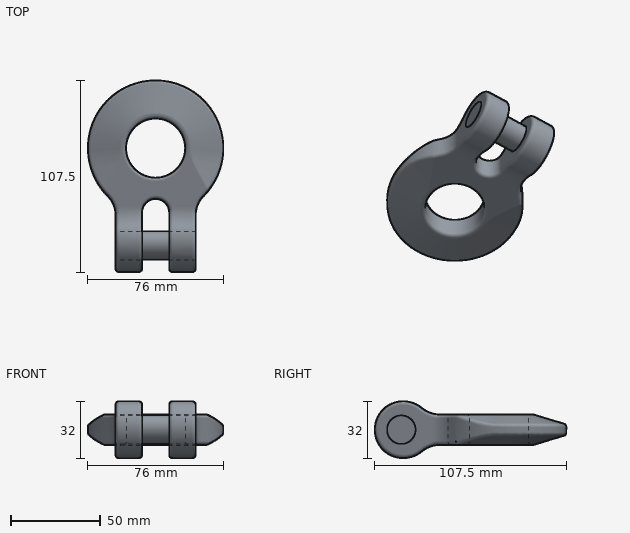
import cadquery as cq
import math

ring_diameter = 76.0
ring_radius = ring_diameter / 2
overall_length = 107.5
eye_diameter = 33.0
plate_thickness = 17.2
half_plate = plate_thickness / 2

fork_width = 45.0
slot_width = 15.0
slot_end_y = -28.5
neck_radius = 15.0
lug_radius = 16.0
lug_blend_radius = 16.0
lug_y = ring_radius - overall_length + lug_radius

pin_diameter = 16.0
pin_offset = 1.1
pin_y = lug_y - pin_offset

crest_radius = 19.5
rim_height = 6.0
flare_middle = (23.6, -12.9)
flare_end = (30.6, -26.0)
flare_angle = math.radians(28)
bevel_slope = (half_plate - rim_height / 2) / (ring_radius - crest_radius)

edge_round = 2.0
upright_tolerance = 0.01
margin = 5.4


def make_plan():
    """Ring and fork outline in the XY plane, joined by concave neck arcs, as a tall prism."""
    half_fork = fork_width / 2
    neck_x = half_fork + neck_radius
    neck_y = -math.sqrt((ring_radius + neck_radius) ** 2 - neck_x**2)
    reach = ring_radius / (ring_radius + neck_radius)
    ring_end = (neck_x * reach, neck_y * reach)
    middle_angle = (math.pi + math.atan2(-neck_y, -neck_x)) / 2
    neck_middle = (
        neck_x + neck_radius * math.cos(middle_angle),
        neck_y + neck_radius * math.sin(middle_angle),
    )
    fork_end_y = ring_radius - overall_length
    return (
        cq.Workplane("XY")
        .workplane(offset=-lug_radius)
        .moveTo(*ring_end)
        .threePointArc((0, ring_radius), (-ring_end[0], ring_end[1]))
        .threePointArc((-neck_middle[0], neck_middle[1]), (-half_fork, neck_y))
        .lineTo(-half_fork, fork_end_y)
        .lineTo(half_fork, fork_end_y)
        .lineTo(half_fork, neck_y)
        .threePointArc(neck_middle, ring_end)
        .close()
        .extrude(2 * lug_radius)
    )


def make_side():
    """Flat plate swelling into the round lugs, in the YZ plane, as a wide prism."""
    blend_z = half_plate + lug_blend_radius
    blend_y = lug_y + math.sqrt((lug_radius + lug_blend_radius) ** 2 - blend_z**2)
    reach = lug_radius / (lug_radius + lug_blend_radius)
    lug_end = (lug_y + (blend_y - lug_y) * reach, blend_z * reach)
    middle_angle = (math.atan2(lug_end[1] - blend_z, lug_end[0] - blend_y) - math.pi / 2) / 2
    blend_middle = (
        blend_y + lug_blend_radius * math.cos(middle_angle),
        blend_z + lug_blend_radius * math.sin(middle_angle),
    )
    half_width = ring_radius + margin
    plate_end_y = ring_radius + margin
    return (
        cq.Workplane("YZ")
        .workplane(offset=-half_width)
        .moveTo(plate_end_y, -half_plate)
        .lineTo(plate_end_y, half_plate)
        .lineTo(blend_y, half_plate)
        .threePointArc(blend_middle, lug_end)
        .threePointArc((lug_y - lug_radius, 0), (lug_end[0], -lug_end[1]))
        .threePointArc((blend_middle[0], -blend_middle[1]), (blend_y, -half_plate))
        .close()
        .extrude(2 * half_width)
    )


def make_slot():
    """Open slot between the lugs, with a round inner end."""
    return (
        cq.Workplane("XY")
        .workplane(offset=-lug_radius)
        .center(0, slot_end_y - overall_length / 2)
        .slot2D(overall_length, slot_width, 90)
        .extrude(2 * lug_radius)
    )


def make_eye():
    """Round hole through the ring."""
    return (
        cq.Workplane("XY")
        .workplane(offset=-lug_radius)
        .circle(eye_diameter / 2)
        .extrude(2 * lug_radius)
    )


def make_cone_cutter():
    """Space above the conical bevel, on the half of the ring away from the fork."""
    reach = ring_radius + margin
    drop = bevel_slope * (reach - crest_radius)
    return (
        cq.Workplane("XZ")
        .moveTo(crest_radius, half_plate)
        .lineTo(reach, half_plate - drop)
        .lineTo(reach, half_plate)
        .close()
        .revolve(180, (0, 0), (0, 1))
    )


def make_flare_cutter():
    """Space above the bevel beside the fork, where the crest curves out to the rim."""
    reach = ring_radius + margin
    leave_direction = (math.sin(flare_angle), -math.cos(flare_angle))
    top = (
        cq.Workplane("XY")
        .workplane(offset=half_plate)
        .moveTo(crest_radius, 0)
        .spline([flare_middle, flare_end], tangents=[(0, -1), leave_direction], includeCurrent=True)
        .lineTo(reach, flare_end[1])
        .lineTo(reach, 0)
        .close()
    )
    slide = cq.Vector(reach - crest_radius, 0, -bevel_slope * (reach - crest_radius))
    return cq.Workplane(cq.Solid.extrudeLinear(cq.Face.makeFromWires(top.val()), slide))


def wall_edges(body):
    """Edges that run round the upright walls of the body."""
    edges = []
    for face in body.faces().vals():
        if abs(face.normalAt().z) < upright_tolerance:
            edges += cq.Workplane(face).edges("not(|X or |Z)").vals()
    return edges


def crest_edges(body):
    """Edges between the flat plate faces and the bevels."""
    walls = wall_edges(body)
    flat_edges = body.faces("|Z").edges("not |X").vals()
    return [edge for edge in flat_edges if not any(edge.isSame(wall) for wall in walls)]


def make_link():
    """Ring and fork in one piece, bored for the pin."""
    link = make_plan().intersect(make_side())
    flare = make_flare_cutter()
    for cutter in [make_cone_cutter(), flare, flare.mirror("YZ")]:
        link = link.cut(cutter).cut(cutter.mirror("XY"))
    link = link.newObject(crest_edges(link)).fillet(edge_round)
    link = link.cut(make_eye()).cut(make_slot())
    link = link.newObject(wall_edges(link)).fillet(edge_round)
    return link.cut(make_pin()).solids()


def make_pin():
    """Plain round pin, flush with the outer faces of both lugs."""
    return (
        cq.Workplane("YZ")
        .workplane(offset=-fork_width / 2)
        .center(pin_y, 0)
        .circle(pin_diameter / 2)
        .extrude(fork_width)
    )


link = make_link()
pin = make_pin()

result = cq.Compound.makeCompound([link.val(), pin.val()])